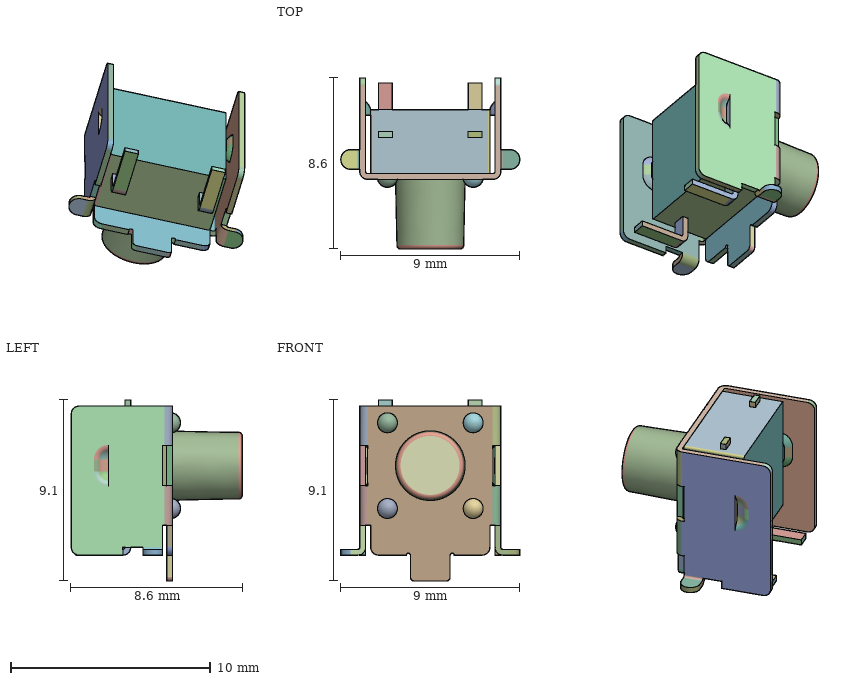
import cadquery as cq
import math


SHEET = 0.3
BEND_INNER = 0.1
BEND_OUTER = BEND_INNER + SHEET
SHIELD_WIDTH = 7.1
SHIELD_DEPTH = 5.1
SHIELD_HEIGHT = 7.5
CORNER_RADIUS = 0.4
SIDE_OUTER = SHIELD_WIDTH / 2
SIDE_INNER = SIDE_OUTER - SHEET

HOUSING_SIZE = 6.0
HOUSING_BACK = 3.5
HOUSING_EDGE_FILLET = 0.1
HOUSING_SIDE = HOUSING_SIZE / 2
HOUSING_BOTTOM = SHIELD_HEIGHT - HOUSING_SIZE
CENTER_Z = HOUSING_BOTTOM + HOUSING_SIDE

STUD_PITCH = 4.3
STUD_DIAMETER = 1.0
STUD_PROTRUSION = 0.4

PLUNGER_DIAMETER = 3.5
PLUNGER_TIP_DIAMETER = 3.36
PLUNGER_LENGTH = 3.5
PLUNGER_TIP_FILLET = 0.2

BEND_OPENING_DEPTH = 0.5
BEND_WINDOW_HEIGHT = 2.0
BEND_WINDOW_INNER = SIDE_OUTER - BEND_OUTER

TAIL_WIDTH = 2.0
TAIL_LENGTH = 1.3
TAIL_CORNER_RADIUS = 0.2
TAIL_RELIEF_RADIUS = 0.1

FOOT_SPAN = 9.0
FOOT_WIDTH = 1.0
SIDE_STEP_Y = 2.5

LOUVER_EDGE_Y = 3.22
LOUVER_STRAIGHT = 0.6
LOUVER_MOUTH_RADIUS = 0.72
LOUVER_DISH_RADIUS = 0.62
LOUVER_CENTER_OFFSET = 0.3

TERMINAL_WIDTH = 0.7
TERMINAL_SPACING = 4.5
TERMINAL_FRONT = 2.1
TERMINAL_BACK = TERMINAL_FRONT + SHEET
STUB_HEIGHT = 0.3
LEG_END_Y = 4.85

SIDES = (-1, 1)


def box(x0, x1, y0, y1, z0, z1):
    """Box between two opposite corners; each pair of limits may come in either order."""
    size = (abs(x1 - x0), abs(y1 - y0), abs(z1 - z0))
    middle = ((x0 + x1) / 2, (y0 + y1) / 2, (z0 + z1) / 2)
    return cq.Workplane("XY").box(*size).translate(middle)


def mirrored(shape, side):
    """The shape itself for the +X side, its mirror image for the -X side."""
    return shape if side > 0 else shape.mirror("YZ")


def studs(start_y):
    """Four round studs from start_y to the shield's front face, each with a domed head."""
    radius = STUD_DIAMETER / 2
    sphere_radius = (radius**2 + STUD_PROTRUSION**2) / (2 * STUD_PROTRUSION)
    sphere_y = sphere_radius - STUD_PROTRUSION
    half_angle = math.asin(radius / sphere_radius) / 2
    head_middle = (sphere_radius * math.sin(half_angle), sphere_y - sphere_radius * math.cos(half_angle))
    stud = (
        cq.Workplane("XY")
        .moveTo(0, start_y)
        .lineTo(radius, start_y)
        .lineTo(radius, 0)
        .threePointArc(head_middle, (0, -STUD_PROTRUSION))
        .close()
        .revolve(360, (0, 0, 0), (0, 1, 0))
    )
    shapes = cq.Workplane("XY")
    for side_x in SIDES:
        for side_z in SIDES:
            place = (side_x * STUD_PITCH / 2, 0, CENTER_Z + side_z * STUD_PITCH / 2)
            shapes = shapes.add(stud.translate(place))
    return shapes.combine()



def bent_sheet():
    """U-shaped sheet: front plate and two side plates joined by round bends."""
    outer = (
        box(-SIDE_OUTER, SIDE_OUTER, 0, SHIELD_DEPTH, 0, SHIELD_HEIGHT)
        .edges("|Z and <Y").fillet(BEND_OUTER)
        .edges("|X and >Y").fillet(CORNER_RADIUS)
    )
    inner = (
        box(-SIDE_INNER, SIDE_INNER, SHEET, SHIELD_DEPTH, 0, SHIELD_HEIGHT)
        .edges("|Z and <Y").fillet(BEND_INNER)
    )
    return outer.cut(inner)


def bend_openings(side):
    """Window in the middle of a bend, and the gap below the bend."""
    half_height = BEND_WINDOW_HEIGHT / 2
    window = box(
        BEND_WINDOW_INNER, SIDE_OUTER, 0, BEND_OPENING_DEPTH, CENTER_Z - half_height, CENTER_Z + half_height
    )
    gap = box(HOUSING_SIDE, SIDE_OUTER, 0, BEND_OPENING_DEPTH, 0, HOUSING_BOTTOM)
    return mirrored(window.union(gap), side)


def tail():
    """Tongue below the front plate, with rounded lower corners."""
    half_width = TAIL_WIDTH / 2
    return (
        box(-half_width, half_width, 0, SHEET, -TAIL_LENGTH, HOUSING_BOTTOM)
        .edges("|Y and <Z").fillet(TAIL_CORNER_RADIUS)
    )


def tail_relief(side):
    """Round relief notch beside the tail, in the bottom edge of the front plate."""
    x = side * (TAIL_WIDTH / 2 + TAIL_RELIEF_RADIUS)
    return cq.Workplane("XZ", origin=(x, 0, 0)).circle(TAIL_RELIEF_RADIUS).extrude(-SHEET)


def foot(side):
    """Foot that bends outward from the bottom of a side plate and ends in a half circle."""
    foot_end = FOOT_SPAN / 2
    bend_x = SIDE_OUTER + BEND_INNER
    bend_z = SHEET + BEND_INNER
    diagonal = math.sqrt(0.5)
    strip = (
        cq.Workplane("XZ", origin=(0, BEND_OPENING_DEPTH, 0))
        .moveTo(SIDE_INNER, bend_z)
        .threePointArc(
            (bend_x - BEND_OUTER * diagonal, bend_z - BEND_OUTER * diagonal), (bend_x, 0)
        )
        .lineTo(foot_end, 0)
        .lineTo(foot_end, SHEET)
        .lineTo(bend_x, SHEET)
        .threePointArc(
            (bend_x - BEND_INNER * diagonal, bend_z - BEND_INNER * diagonal), (SIDE_OUTER, bend_z)
        )
        .close()
        .extrude(-FOOT_WIDTH)
    )
    end_radius = FOOT_WIDTH / 2
    end_center_x = foot_end - end_radius
    end_center_y = BEND_OPENING_DEPTH + end_radius
    plan = box(
        SIDE_INNER, end_center_x, BEND_OPENING_DEPTH, BEND_OPENING_DEPTH + FOOT_WIDTH, 0, bend_z
    ).union(cq.Workplane("XY").center(end_center_x, end_center_y).circle(end_radius).extrude(bend_z))
    return mirrored(strip.intersect(plan), side)


def half_obround(profile):
    """Sweep a profile, given as (distance, X) from the louver edge, along half an obround."""
    shape = profile.extrude(LOUVER_STRAIGHT / 2, both=True)
    turned = profile.toPending().revolve(360, (0, 0, 0), (0, 1, 0))
    for end in SIDES:
        shape = shape.union(turned.translate((0, 0, end * LOUVER_STRAIGHT / 2)))
    rear_half = box(-SHIELD_WIDTH, SHIELD_WIDTH, 0, SHIELD_DEPTH, -SHIELD_HEIGHT, SHIELD_HEIGHT)
    shape = shape.intersect(rear_half)
    return shape.translate((0, LOUVER_EDGE_Y, CENTER_Z))


def louver_plane():
    """Plane whose first axis is the distance (+Y) and whose second axis is +X."""
    return cq.Workplane(cq.Plane(origin=(0, 0, 0), xDir=(0, 1, 0), normal=(0, 0, -1)))


def louver_bulge(side):
    """Inward bulge of a louver, flattened where it rests on the housing."""
    center_x = SIDE_OUTER + LOUVER_CENTER_OFFSET
    radius = LOUVER_DISH_RADIUS + SHEET
    crest_reach = math.sqrt(radius**2 - (center_x - HOUSING_SIDE) ** 2)
    base_reach = math.sqrt(radius**2 - (center_x - SIDE_INNER) ** 2)
    middle_x = (HOUSING_SIDE + SIDE_INNER) / 2
    middle_reach = math.sqrt(radius**2 - (center_x - middle_x) ** 2)
    profile = (
        louver_plane()
        .moveTo(0, HOUSING_SIDE)
        .lineTo(crest_reach, HOUSING_SIDE)
        .threePointArc((middle_reach, middle_x), (base_reach, SIDE_INNER))
        .lineTo(0, SIDE_INNER)
        .close()
    )
    return mirrored(half_obround(profile), side)


def louver_dish(side):
    """Hollow on the outside of a louver: a round dish with a rounded lip."""
    offset = LOUVER_CENTER_OFFSET
    dish = LOUVER_DISH_RADIUS
    mouth = LOUVER_MOUTH_RADIUS
    center_x = SIDE_OUTER + offset
    lip = (mouth**2 + offset**2 - dish**2) / (2 * (dish - offset))
    lip_x = SIDE_OUTER - lip
    joint_angle = math.atan2(mouth, offset + lip)
    joint = (dish * math.sin(joint_angle), center_x - dish * math.cos(joint_angle))
    lip_middle = (mouth - lip * math.sin(joint_angle / 2), lip_x + lip * math.cos(joint_angle / 2))
    dish_middle = (dish * math.sin(joint_angle / 2), center_x - dish * math.cos(joint_angle / 2))
    profile = (
        louver_plane()
        .moveTo(0, SIDE_OUTER)
        .lineTo(mouth, SIDE_OUTER)
        .threePointArc(lip_middle, joint)
        .threePointArc(dish_middle, (0, center_x - dish))
        .close()
    )
    return mirrored(half_obround(profile), side)


def make_shield():
    """Bent sheet with feet, louvers, tail and holes; its lower front is as wide as the housing."""
    shield = bent_sheet()
    for side in SIDES:
        shield = shield.cut(bend_openings(side))
        side_step = box(
            side * SIDE_INNER, side * SIDE_OUTER, BEND_OPENING_DEPTH, SIDE_STEP_Y, 0, SHEET + BEND_INNER
        )
        shield = shield.cut(side_step).union(foot(side))
        front_corner = cq.selectors.NearestToPointSelector((side * HOUSING_SIDE, SHEET / 2, 0))
        shield = shield.edges(front_corner).fillet(CORNER_RADIUS)
        shield = shield.union(louver_bulge(side)).cut(louver_dish(side))
        shield = shield.cut(tail_relief(side))
    plunger_hole = (
        cq.Workplane("XZ", origin=(0, 0, CENTER_Z)).circle(PLUNGER_DIAMETER / 2).extrude(-SHEET)
    )
    return shield.union(tail()).cut(plunger_hole).cut(studs(SHEET))



def make_housing():
    """Block with rounded long edges and four studs that pass through the shield."""
    block = (
        box(-HOUSING_SIDE, HOUSING_SIDE, SHEET, HOUSING_BACK, HOUSING_BOTTOM, SHIELD_HEIGHT)
        .edges("|Y").fillet(HOUSING_EDGE_FILLET)
    )
    return block.union(studs(SHEET))



def make_plunger():
    """Round neck in the shield's hole, then a tapered push button with a rounded tip."""
    base_radius = PLUNGER_DIAMETER / 2
    profile = (
        cq.Workplane("XY")
        .moveTo(0, SHEET)
        .lineTo(base_radius, SHEET)
        .lineTo(base_radius, 0)
        .lineTo(PLUNGER_TIP_DIAMETER / 2, -PLUNGER_LENGTH)
        .lineTo(0, -PLUNGER_LENGTH)
        .close()
    )
    plunger = profile.revolve(360, (0, 0, 0), (0, 1, 0)).faces("<Y").edges().fillet(PLUNGER_TIP_FILLET)
    return plunger.translate((0, 0, CENTER_Z))



def make_terminal_stub(side):
    """Short upright terminal on top of the housing."""
    x = side * TERMINAL_SPACING / 2
    half_width = TERMINAL_WIDTH / 2
    top = SHIELD_HEIGHT + STUB_HEIGHT
    return box(x - half_width, x + half_width, TERMINAL_FRONT, TERMINAL_BACK, SHIELD_HEIGHT, top)


def make_terminal_leg(side):
    """Terminal that leaves the housing downward and bends back along the board."""
    x = side * TERMINAL_SPACING / 2
    half_width = TERMINAL_WIDTH / 2
    outer = (
        box(x - half_width, x + half_width, TERMINAL_FRONT, LEG_END_Y, 0, HOUSING_BOTTOM)
        .edges("|X and <Y and <Z").fillet(BEND_OUTER)
    )
    inner = (
        box(x - half_width, x + half_width, TERMINAL_BACK, LEG_END_Y, SHEET, HOUSING_BOTTOM)
        .edges("|X and <Y and <Z").fillet(BEND_INNER)
    )
    return outer.cut(inner)



shield = make_shield()
housing = make_housing()
plunger = make_plunger()
terminal_stubs = [make_terminal_stub(side) for side in SIDES]
terminal_legs = [make_terminal_leg(side) for side in SIDES]

bodies = [shield, housing, plunger, *terminal_stubs, *terminal_legs]
result = cq.Compound.makeCompound([body.solids().val() for body in bodies])